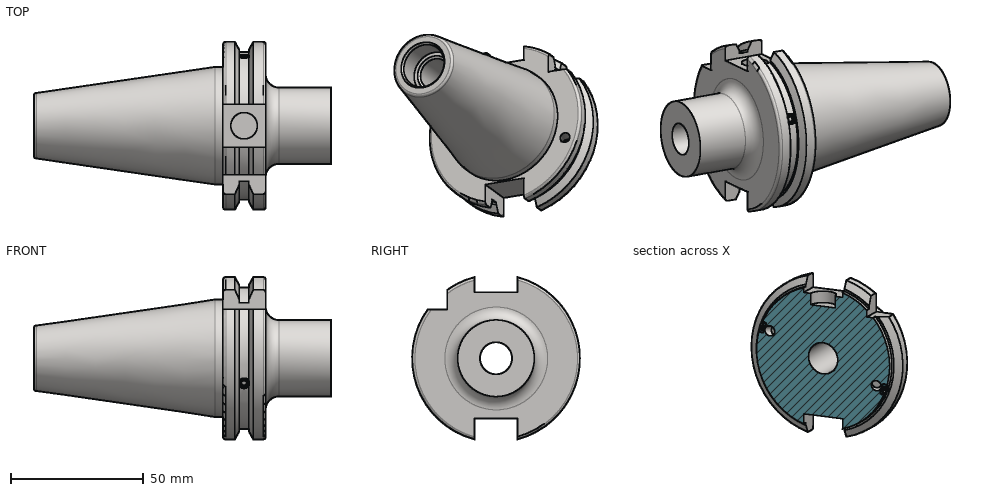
import cadquery as cq
import math

total_length = 112.5
gauge_x = 68.4
flange_start = 71.5
flange_width = 16.2
flange_end = flange_start + flange_width

gauge_radius = 44.5 / 2
taper_rate = 7 / 48
tail_round = 1.0
tail_radius = gauge_radius - taper_rate * gauge_x

flange_radius = 63.6 / 2
flange_round = 1.0
same_place = 0.001
groove_x = 79.5
groove_top_width = 7.0
groove_floor_width = 3.6
groove_floor_radius = 28.0
groove_flank_angle = math.radians(30)
groove_flank_drop = (groove_top_width - groove_floor_width) / 2 / math.tan(groove_flank_angle)

nose_radius = 29.0 / 2
nose_fillet = 5.0

slot_width = 16.1
upper_slot_floor = 25.0
lower_slot_floor = 22.8
notch_offset = 18.5

chip_diameter = 10.0
chip_depth = 4.5

mouth_radius = 9.1
mouth_depth = 0.9
counterbore_radius = 8.4
counterbore_depth = 9.9
bore_radius = 12.0 / 2
seat_radius = 7.0
seat_depth = 0.6

passage_turn = 20
passage_slope = 22
passage_diameter = 3.7
passage_length = 11.2
inlet_radius = 27.0
plug_diameter = 4.0
plug_length = 1.6
plug_chamfer = 0.3
plug_recess = 0.2
plug_top = groove_floor_radius - plug_recess
socket_flats = 2.0
socket_depth = 0.9


def make_outside():
    """Revolved outside shape: taper, grooved flange and nose."""
    half_top = groove_top_width / 2
    half_floor = groove_floor_width / 2
    flank_radius = flange_radius - groove_flank_drop
    fillet_start = nose_radius + nose_fillet
    fillet_mid = nose_fillet * (1 - math.sqrt(0.5))
    profile = (
        cq.Workplane("XY")
        .lineTo(0, tail_radius)
        .lineTo(gauge_x, gauge_radius)
        .lineTo(flange_start, gauge_radius)
        .lineTo(flange_start, flange_radius)
        .lineTo(groove_x - half_top, flange_radius)
        .lineTo(groove_x - half_floor, flank_radius)
        .lineTo(groove_x - half_floor, groove_floor_radius)
        .lineTo(groove_x + half_floor, groove_floor_radius)
        .lineTo(groove_x + half_floor, flank_radius)
        .lineTo(groove_x + half_top, flange_radius)
        .lineTo(flange_end, flange_radius)
        .lineTo(flange_end, fillet_start)
        .threePointArc(
            (flange_end + fillet_mid, nose_radius + fillet_mid),
            (flange_end + nose_fillet, nose_radius),
        )
        .lineTo(total_length, nose_radius)
        .lineTo(total_length, 0)
        .close()
    )
    body = profile.revolve(360, (0, 0, 0), (1, 0, 0))
    body = body.faces("<X").edges().fillet(tail_round)
    for x in (flange_start, flange_end):
        rim = cq.Workplane("XY").add(
            [
                edge
                for edge in body.edges("%CIRCLE").vals()
                if math.isclose(edge.Center().x, x, abs_tol=same_place)
                and math.isclose(edge.radius(), flange_radius, abs_tol=same_place)
            ]
        )
        body = body.newObject(rim.vals()).fillet(flange_round)
    return body


def make_bore():
    """Through bore with a chamfered counterbore at the taper end."""
    return (
        cq.Workplane("XY")
        .lineTo(0, mouth_radius)
        .lineTo(mouth_depth, counterbore_radius)
        .lineTo(counterbore_depth, counterbore_radius)
        .lineTo(counterbore_depth, seat_radius)
        .lineTo(counterbore_depth + seat_depth, bore_radius)
        .lineTo(total_length, bore_radius)
        .lineTo(total_length, 0)
        .close()
        .revolve(360, (0, 0, 0), (1, 0, 0))
    )


def flange_cutter(y_size, z_size):
    """Block as long as the flange, standing on z = 0 with its middle at y = 0."""
    return cq.Workplane("XY").box(flange_width, y_size, z_size, (False, True, False)).translate((flange_start, 0, 0))


def make_slots():
    """Two drive slots and the corner notch, all running through the flange."""
    upper = flange_cutter(slot_width, flange_radius).translate((0, 0, upper_slot_floor))
    lower = flange_cutter(slot_width, flange_radius).translate((0, 0, -lower_slot_floor - flange_radius))
    notch = flange_cutter(flange_radius, flange_radius).translate(
        (0, -notch_offset - flange_radius / 2, notch_offset)
    )
    return upper.union(lower).union(notch)


def make_chip_pocket():
    """Round blind pocket in the floor of the upper slot."""
    return (
        cq.Workplane("XY", origin=(groove_x, 0, upper_slot_floor - chip_depth))
        .circle(chip_diameter / 2)
        .extrude(chip_depth)
    )


def make_passage():
    """Blind coolant hole from the flange face, sloping inwards under the V-groove."""
    overshoot = passage_diameter
    rod = (
        cq.Workplane("YZ", origin=(-overshoot, 0, 0))
        .circle(passage_diameter / 2)
        .extrude(overshoot + passage_length)
        .rotate((0, 0, 0), (0, 0, 1), -passage_slope)
        .translate((flange_start, inlet_radius, 0))
    )
    return rod


def radial_rod(section, inner_radius, outer_radius):
    """Prism along +Y at the groove, between two distances from the X axis."""
    return section.extrude(inner_radius - outer_radius).translate((groove_x, inner_radius, 0))


def make_plug_hole():
    """Radial hole in the groove floor that seats a plug over the coolant passage."""
    section = cq.Workplane("XZ").circle(plug_diameter / 2)
    return radial_rod(section, plug_top - plug_length, groove_floor_radius)


def make_plug():
    """Grub screw with a chamfered rim and a hexagon socket."""
    plug = radial_rod(cq.Workplane("XZ").circle(plug_diameter / 2), plug_top - plug_length, plug_top)
    plug = plug.faces(">Y").chamfer(plug_chamfer)
    socket = cq.Workplane("XZ").polygon(6, socket_flats, circumscribed=True)
    return plug.cut(radial_rod(socket, plug_top - socket_depth, plug_top))


def turned_pair(shape):
    """Two copies of a shape, half a turn apart about the X axis."""
    return [shape.rotate((0, 0, 0), (1, 0, 0), passage_turn + half_turn) for half_turn in (0, 180)]


holder = make_outside().cut(make_bore()).cut(make_slots()).cut(make_chip_pocket())
for passage in turned_pair(make_passage().union(make_plug_hole())):
    holder = holder.cut(passage)

plugs = turned_pair(make_plug())

result = cq.Compound.makeCompound([holder.val(), *[plug.val() for plug in plugs]])